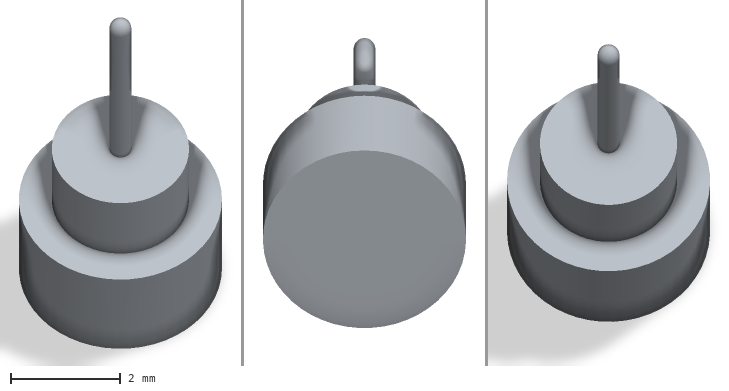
import cadquery as cq

total_height = 7.35
base_diameter = 3.7
base_height = 2.06
collar_diameter = 2.5
collar_height = 1.5
pin_diameter = 0.4

pin_radius = pin_diameter / 2
collar_top = base_height + collar_height
pin_length = total_height - collar_top


def cylinder(diameter, height, bottom):
    """Upright cylinder centred on the Z axis."""
    return cq.Workplane("XY").workplane(offset=bottom).circle(diameter / 2).extrude(height)


base = cylinder(base_diameter, base_height, 0)
collar = cylinder(collar_diameter, collar_height, base_height)

pin_shank = cylinder(pin_diameter, pin_length - pin_radius, collar_top)
pin_tip = cq.Workplane("XY").sphere(pin_radius).translate((0, 0, total_height - pin_radius))

result = base.union(collar).union(pin_shank).union(pin_tip)